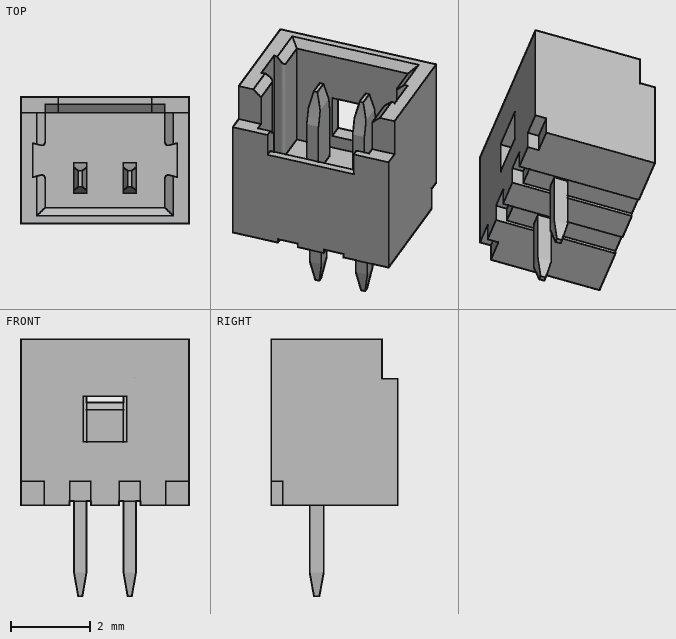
import cadquery as cq


WIDTH = 4.25
DEPTH = 3.2
HEIGHT = 4.2
WALL_Y = 0.4
WALL_X = 0.61
FLOOR_TOP = 1.25
BACK_WALL_TOP = 3.2
BACK_NOTCH_WIDTH = 2.35
BACK_NOTCH_BOTTOM = 2.6
CAVITY_WIDTH = WIDTH - 2 * WALL_X
CAVITY_DEPTH = DEPTH - 2 * WALL_Y

LEAD_IN_INSET = 0.21
LEAD_IN_DROP = 0.19

RECESS_X = 1.82
RECESS_OUTER_WIDTH = 0.86
RECESS_MOUTH_WIDTH = 0.7
RECESS_EDGE_RADIUS = 0.08

WINDOW_WIDTH = 1.1
WINDOW_BOTTOM = 1.6
WINDOW_TOP = 2.75

NOTCH_HEIGHT = 0.605
NOTCH_DEPTH = 0.29
CORNER_NOTCH_WIDTH = 0.585
PIN_NOTCH_WIDTH = 0.54
GROOVE_HEIGHT = 0.105

PIN_PITCH = 1.25
PIN_XS = (-PIN_PITCH / 2, PIN_PITCH / 2)
PIN_Y = -0.45
PIN_THICKNESS = 0.32
BLADE_DEPTH = 0.76
BLADE_TOP = 3.5
BLADE_TIP_THICKNESS = 0.1
BLADE_SIDE_BEVEL = 0.48
BLADE_EDGE_BEVEL = 0.9
BLADE_FRONT_INSET = 0.155
BLADE_BACK_INSET = 0.195
BLADE_BACK_HOLLOW = 0.02
BLADE_BOTTOM = FLOOR_TOP / 2
TAIL_DEPTH = 0.36
TAIL_BOTTOM = -2.3
TAIL_TAPER = 0.6
TAIL_TIP_THICKNESS = 0.11
TAIL_TIP_DEPTH = 0.14


def block(x_range, y_range, z_range):
    """Axis-aligned box between the given limits."""
    x0, x1 = x_range
    y0, y1 = y_range
    z0, z1 = z_range
    return cq.Workplane("XY").box(x1 - x0, y1 - y0, z1 - z0, centered=False).translate((x0, y0, z0))


def centered_span(center, width):
    return (center - width / 2, center + width / 2)


def lead_in(top):
    """Flared cavity mouth: widest at the given height, cavity size at its lower end."""
    return (
        cq.Workplane("XY")
        .workplane(offset=top - LEAD_IN_DROP)
        .rect(CAVITY_WIDTH, CAVITY_DEPTH)
        .workplane(offset=LEAD_IN_DROP)
        .rect(CAVITY_WIDTH + 2 * LEAD_IN_INSET, CAVITY_DEPTH + 2 * LEAD_IN_INSET)
        .loft(ruled=True)
    )


def back_lead_in(width, top):
    """Chamfer wedge along the inner top edge of the back wall."""
    inner_y = CAVITY_DEPTH / 2
    return (
        cq.Workplane("YZ")
        .polyline([(inner_y, top - LEAD_IN_DROP), (inner_y, top), (inner_y + LEAD_IN_INSET, top)])
        .close()
        .extrude(width / 2, both=True)
    )


def open_cavity(body):
    """Hollow the housing and flare its mouth."""
    cavity = block(
        centered_span(0, CAVITY_WIDTH), centered_span(0, CAVITY_DEPTH), (FLOOR_TOP, HEIGHT)
    )
    return body.cut(cavity).cut(lead_in(HEIGHT))


def lower_back_wall(body):
    """Step the back down, then notch the back wall and chamfer its inner edges."""
    back = (CAVITY_DEPTH / 2, DEPTH / 2)
    step = block(centered_span(0, WIDTH), back, (BACK_WALL_TOP, HEIGHT))
    notch = block(centered_span(0, BACK_NOTCH_WIDTH), back, (BACK_NOTCH_BOTTOM, BACK_WALL_TOP))
    body = body.cut(step).cut(notch)
    body = body.cut(back_lead_in(CAVITY_WIDTH, BACK_WALL_TOP))
    return body.cut(back_lead_in(BACK_NOTCH_WIDTH, BACK_NOTCH_BOTTOM))


def cut_side_recesses(body):
    """Cut a dovetail recess in each side wall and round the mouth edges."""
    mouth_x = CAVITY_WIDTH / 2
    outer_half = RECESS_OUTER_WIDTH / 2
    mouth_half = RECESS_MOUTH_WIDTH / 2
    recess = (
        cq.Workplane("XY")
        .workplane(offset=FLOOR_TOP)
        .polyline(
            [
                (-RECESS_X, -outer_half),
                (-mouth_x, -mouth_half),
                (mouth_x, -mouth_half),
                (RECESS_X, -outer_half),
                (RECESS_X, outer_half),
                (mouth_x, mouth_half),
                (-mouth_x, mouth_half),
                (-RECESS_X, outer_half),
            ]
        )
        .close()
        .extrude(HEIGHT - FLOOR_TOP)
    )
    body = body.cut(recess)
    mouth_span = mouth_half + RECESS_EDGE_RADIUS
    mouth_edges = body.edges("|Z").edges(
        cq.selectors.BoxSelector(
            (-mouth_x - RECESS_EDGE_RADIUS, -mouth_span, FLOOR_TOP),
            (mouth_x + RECESS_EDGE_RADIUS, mouth_span, HEIGHT),
        )
    )
    return mouth_edges.fillet(RECESS_EDGE_RADIUS)


def cut_window(body):
    front_wall = (-DEPTH / 2, -CAVITY_DEPTH / 2)
    return body.cut(block(centered_span(0, WINDOW_WIDTH), front_wall, (WINDOW_BOTTOM, WINDOW_TOP)))


def cut_bottom_notches(body):
    """Notch the lower front edge and run a shallow groove under each pin."""
    notch_y = (-DEPTH / 2, -DEPTH / 2 + NOTCH_DEPTH)
    for side in (-1, 1):
        corner_x = side * (WIDTH - CORNER_NOTCH_WIDTH) / 2
        body = body.cut(block(centered_span(corner_x, CORNER_NOTCH_WIDTH), notch_y, (0, NOTCH_HEIGHT)))
    for pin_x in PIN_XS:
        span = centered_span(pin_x, PIN_NOTCH_WIDTH)
        body = body.cut(block(span, notch_y, (0, NOTCH_HEIGHT)))
        body = body.cut(block(span, centered_span(0, DEPTH), (0, GROOVE_HEIGHT)))
    return body


def make_blade():
    """Wide contact blade: bevelled on both sides, sloped in front and hollowed behind."""
    front_y = -BLADE_DEPTH / 2
    back_y = BLADE_DEPTH / 2
    edge_z = BLADE_TOP - BLADE_EDGE_BEVEL
    hollow_y = back_y - BLADE_BACK_INSET / 2 - BLADE_BACK_HOLLOW
    hollow_point = (hollow_y, BLADE_TOP - BLADE_EDGE_BEVEL / 2)
    side_profile = (
        cq.Workplane("YZ")
        .moveTo(front_y, BLADE_BOTTOM)
        .lineTo(back_y, BLADE_BOTTOM)
        .lineTo(back_y, edge_z)
        .threePointArc(hollow_point, (back_y - BLADE_BACK_INSET, BLADE_TOP))
        .lineTo(front_y + BLADE_FRONT_INSET, BLADE_TOP)
        .lineTo(front_y, edge_z)
        .close()
        .extrude(PIN_THICKNESS / 2, both=True)
    )
    half = PIN_THICKNESS / 2
    tip_half = BLADE_TIP_THICKNESS / 2
    bevel_z = BLADE_TOP - BLADE_SIDE_BEVEL
    front_profile = (
        cq.Workplane("XZ")
        .polyline(
            [
                (-half, BLADE_BOTTOM),
                (half, BLADE_BOTTOM),
                (half, bevel_z),
                (tip_half, BLADE_TOP),
                (-tip_half, BLADE_TOP),
                (-half, bevel_z),
            ]
        )
        .close()
        .extrude(BLADE_DEPTH / 2, both=True)
    )
    return side_profile.intersect(front_profile)


def make_tail():
    """Narrow solder tail with a tapered end."""
    shoulder_z = TAIL_BOTTOM + TAIL_TAPER
    shank = block(
        centered_span(0, PIN_THICKNESS), centered_span(0, TAIL_DEPTH), (shoulder_z, BLADE_BOTTOM)
    )
    taper = (
        cq.Workplane("XY")
        .workplane(offset=TAIL_BOTTOM)
        .rect(TAIL_TIP_THICKNESS, TAIL_TIP_DEPTH)
        .workplane(offset=TAIL_TAPER)
        .rect(PIN_THICKNESS, TAIL_DEPTH)
        .loft(ruled=True)
    )
    return shank.union(taper)


def make_housing():
    body = block(centered_span(0, WIDTH), centered_span(0, DEPTH), (0, HEIGHT))
    body = open_cavity(body)
    body = lower_back_wall(body)
    body = cut_side_recesses(body)
    body = cut_window(body)
    return cut_bottom_notches(body)


pin = make_blade().union(make_tail())
result = make_housing()
for x in PIN_XS:
    result = result.union(pin.translate((x, PIN_Y, 0)))